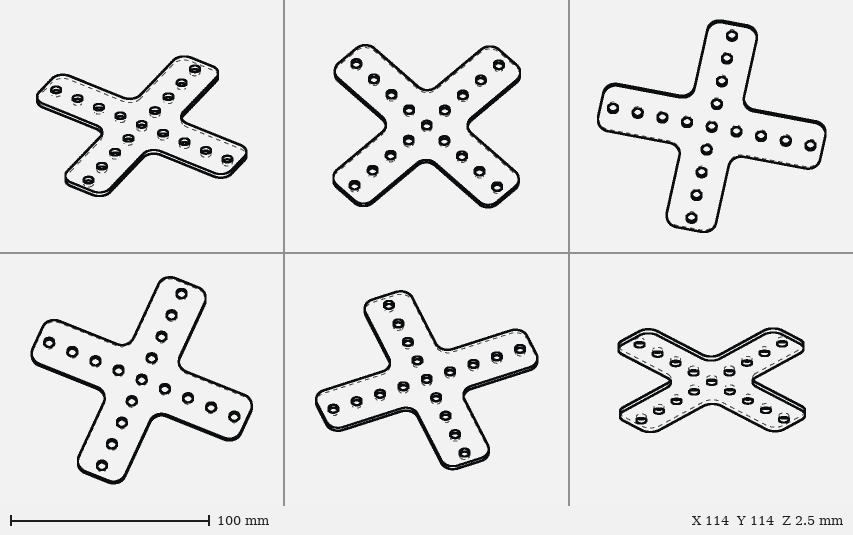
import cadquery as cq

span = 114.0
thickness = 2.5
hole_diameter = 5.0
holes_per_arm = 9

pitch = span / holes_per_arm
arm_width = 2 * pitch
corner_radius = pitch / 2
inner_radius = pitch / 2


def arm(length_x, length_y):
    """Flat bar with rounded ends, resting on Z = 0."""
    bar = cq.Workplane("XY").rect(length_x, length_y).extrude(thickness)
    return bar.edges("|Z").fillet(corner_radius)


def cross_plate():
    """Two crossed arms with rounded inner corners."""
    cross = arm(span, arm_width).union(arm(arm_width, span))
    inner_zone = cq.selectors.BoxSelector(
        (-arm_width, -arm_width, -thickness),
        (arm_width, arm_width, 2 * thickness),
    )
    return cross.edges("|Z").edges(inner_zone).fillet(inner_radius)


def hole_centres():
    """Evenly spaced points along both arms, sharing the one at the centre."""
    half_count = holes_per_arm // 2
    offsets = [pitch * step for step in range(-half_count, half_count + 1)]
    along_x = [(offset, 0) for offset in offsets]
    along_y = [(0, offset) for offset in offsets if offset != 0]
    return along_x + along_y


result = cross_plate().faces(">Z").workplane(origin=(0, 0, 0)).pushPoints(hole_centres()).hole(hole_diameter)